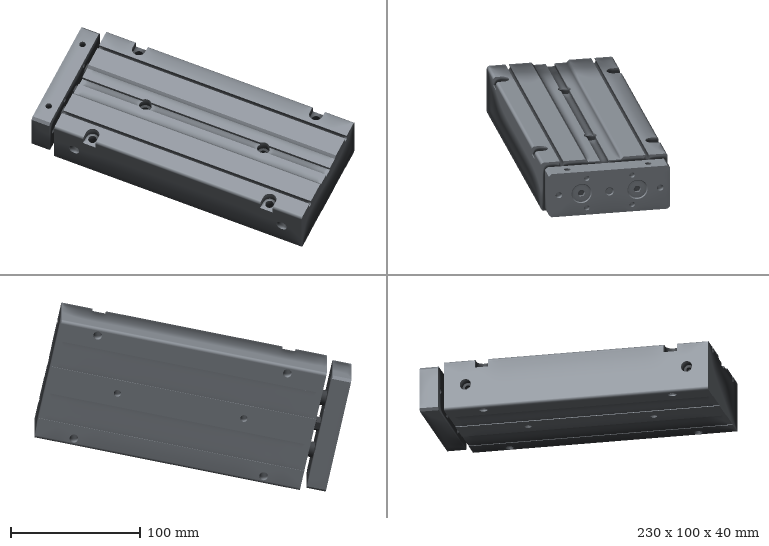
import cadquery as cq
import math


TOTAL_LENGTH = 230.0
WIDTH = 100.0
HEIGHT = 40.0
PLATE_THICKNESS = 15.0
GAP = 5.0
TOP = HEIGHT / 2
HOUSING_START = PLATE_THICKNESS + GAP
HOUSING_LENGTH = TOTAL_LENGTH - HOUSING_START
ROD_Y = 22.0

EDGE_RADIUS = 2.3
CHANNEL_HALF_WIDTH = 15.0
CHANNEL_DEPTH = 2.0
CENTER_SLOT_WIDTH = 7.0
CENTER_SLOT_DEPTH = 2.3
SENSOR_GROOVE_Y = 33.8
SENSOR_GROOVE_DIAMETER = 4.1
SENSOR_GROOVE_AXIS_DEPTH = 2.3
SENSOR_GROOVE_NECK = 2.8
BOTTOM_RELIEF_WIDTH = 22.0
BOTTOM_RELIEF_DEPTH = 0.5

CORNER_HOLE_DIAMETER = 6.7
CORNER_HOLE_Y = 44.0
CORNER_HOLE_INSET = 30.0
CORNER_POCKET_WIDTH = 10.5
CORNER_POCKET_DEPTH = 6.7
CENTER_HOLE_DIAMETER = 5.5
CENTER_HOLE_INSET = 55.0
CENTER_BORE_DIAMETER = 10.0
CENTER_BORE_DEPTH = 10.0
PORT_INSET = 17.0
PORT_MOUTH_DIAMETER = 8.7
PORT_END_DIAMETER = 8.0
PORT_DEPTH = 8.0
PORT_PASSAGE_DIAMETER = 4.1
PORT_PASSAGE_DEPTH = 12.6

PLATE_MARGIN = 2.0
PLATE_WIDTH = WIDTH - 2 * PLATE_MARGIN
PLATE_HEIGHT = HEIGHT - 2 * PLATE_MARGIN
PLATE_CHAMFER = 2.0
ROD_DIAMETER = 12.0
SIDE_HOLE_DIAMETER = 5.0
SIDE_HOLE_Y = 40.0
SMALL_HOLE_DIAMETER = 4.1
SMALL_HOLE_Y = 18.0
SMALL_HOLE_Z = 12.2
TOP_HOLE_DIAMETER = 5.0
TOP_HOLE_Y = 32.0
TOP_HOLE_DEPTH = 9.2
RECESS_TAPER = 0.7
ROD_RECESS_DIAMETER = 15.9
SOCKET_FLATS = 5.0
SOCKET_DEPTH = 3.5
BOLT_DIAMETER = 6.0
BOLT_RECESS_DIAMETER = 6.7
NUT_FLATS = 10.0
NUT_THICKNESS = 3.5


def x_cylinder(diameter, x, length, y=0.0, z=0.0):
    """Cylinder along X that starts at x."""
    return cq.Workplane("YZ", origin=(x, y, z)).circle(diameter / 2).extrude(length)


def x_hexagon(flats, x, length, y=0.0):
    """Hexagonal prism along X with two corners on the Y axis."""
    corners = flats / math.cos(math.pi / 6)
    return cq.Workplane("YZ", origin=(x, y, 0)).polygon(6, corners).extrude(length)


def z_cylinder(diameter, x, y, top, depth):
    """Cylinder that hangs down from the height top."""
    return cq.Workplane("XY", origin=(x, y, top)).circle(diameter / 2).extrude(-depth)


def housing_bar(y, z_low, z_high, width):
    """Straight bar as long as the housing, centred on y."""
    return (
        cq.Workplane("YZ", origin=(HOUSING_START, y, (z_low + z_high) / 2))
        .rect(width, z_high - z_low)
        .extrude(HOUSING_LENGTH)
    )


def channel_cutter():
    """Wide top channel with 45 degree sides and a narrower slot along its floor."""
    floor = TOP - CHANNEL_DEPTH
    floor_half_width = CHANNEL_HALF_WIDTH - CHANNEL_DEPTH
    channel = (
        cq.Workplane("YZ", origin=(HOUSING_START, 0, 0))
        .polyline([
            (-CHANNEL_HALF_WIDTH, TOP),
            (-floor_half_width, floor),
            (floor_half_width, floor),
            (CHANNEL_HALF_WIDTH, TOP),
        ])
        .close()
        .extrude(HOUSING_LENGTH)
    )
    return channel.union(housing_bar(0, floor - CENTER_SLOT_DEPTH, TOP, CENTER_SLOT_WIDTH))


def sensor_groove_cutter(side):
    """Round groove that opens to the top through a narrower neck."""
    y = side * SENSOR_GROOVE_Y
    axis_z = TOP - SENSOR_GROOVE_AXIS_DEPTH
    groove = x_cylinder(SENSOR_GROOVE_DIAMETER, HOUSING_START, HOUSING_LENGTH, y, axis_z)
    return groove.union(housing_bar(y, axis_z, TOP, SENSOR_GROOVE_NECK))


def corner_mount_cutter(x, side):
    """Through hole under a round-ended pocket that is open to the long side."""
    y = side * CORNER_HOLE_Y
    reach = WIDTH / 2 - CORNER_HOLE_Y
    hole = z_cylinder(CORNER_HOLE_DIAMETER, x, y, TOP, HEIGHT)
    round_end = z_cylinder(CORNER_POCKET_WIDTH, x, y, TOP, CORNER_POCKET_DEPTH)
    opening = (
        cq.Workplane("XY", origin=(x, y + side * reach / 2, TOP))
        .rect(CORNER_POCKET_WIDTH, reach)
        .extrude(-CORNER_POCKET_DEPTH)
    )
    return hole.union(round_end).union(opening)


def center_mount_cutter(x):
    """Counterbored through hole on the centre line, sunk from the channel floor."""
    hole = z_cylinder(CENTER_HOLE_DIAMETER, x, 0, TOP, HEIGHT)
    return hole.union(z_cylinder(CENTER_BORE_DIAMETER, x, 0, TOP, CENTER_BORE_DEPTH))


def port_cutter(x):
    """Tapered air port in the -Y side with a small passage at its bottom."""
    return (
        cq.Workplane("XY")
        .polyline([
            (0, 0),
            (PORT_MOUTH_DIAMETER / 2, 0),
            (PORT_END_DIAMETER / 2, PORT_DEPTH),
            (PORT_PASSAGE_DIAMETER / 2, PORT_DEPTH),
            (PORT_PASSAGE_DIAMETER / 2, PORT_PASSAGE_DEPTH),
            (0, PORT_PASSAGE_DEPTH),
        ])
        .close()
        .revolve(360, (0, 0, 0), (0, 1, 0))
        .translate((x, -WIDTH / 2, 0))
    )


def mirrored_stations(inset):
    """X places at the same inset from both ends of the housing."""
    return (HOUSING_START + inset, TOTAL_LENGTH - inset)


def make_housing():
    housing = housing_bar(0, -TOP, TOP, WIDTH).edges("|X").fillet(EDGE_RADIUS)
    housing = housing.cut(channel_cutter())
    for side in (-1, 1):
        housing = housing.cut(sensor_groove_cutter(side))
        relief = housing_bar(side * ROD_Y, -TOP, -TOP + BOTTOM_RELIEF_DEPTH, BOTTOM_RELIEF_WIDTH)
        housing = housing.cut(relief)
        for x in mirrored_stations(CORNER_HOLE_INSET):
            housing = housing.cut(corner_mount_cutter(x, side))
    for x in mirrored_stations(CENTER_HOLE_INSET):
        housing = housing.cut(center_mount_cutter(x))
    for x in mirrored_stations(PORT_INSET):
        housing = housing.cut(port_cutter(x))
    return housing


def face_recess_cutter(diameter, y):
    """Shallow recess in the plate face with a 45 degree rim."""
    return (
        cq.Workplane("YZ", origin=(0, y, 0))
        .circle(diameter / 2)
        .workplane(offset=RECESS_TAPER)
        .circle(diameter / 2 - RECESS_TAPER)
        .loft()
    )


def make_plate():
    plate = (
        cq.Workplane("YZ")
        .rect(PLATE_WIDTH, PLATE_HEIGHT)
        .extrude(PLATE_THICKNESS)
        .edges("|X")
        .chamfer(PLATE_CHAMFER)
    )
    plate = plate.cut(face_recess_cutter(BOLT_RECESS_DIAMETER, 0))
    for side in (-1, 1):
        plate = plate.cut(face_recess_cutter(ROD_RECESS_DIAMETER, side * ROD_Y))
        plate = plate.cut(x_hexagon(SOCKET_FLATS, 0, SOCKET_DEPTH, side * ROD_Y))
        plate = plate.cut(x_cylinder(SIDE_HOLE_DIAMETER, 0, PLATE_THICKNESS, side * SIDE_HOLE_Y))
        for z in (-SMALL_HOLE_Z, SMALL_HOLE_Z):
            plate = plate.cut(x_cylinder(SMALL_HOLE_DIAMETER, 0, PLATE_THICKNESS, side * SMALL_HOLE_Y, z))
        top_hole = z_cylinder(
            TOP_HOLE_DIAMETER, PLATE_THICKNESS / 2, side * TOP_HOLE_Y, PLATE_HEIGHT / 2, TOP_HOLE_DEPTH
        )
        plate = plate.cut(top_hole)
    return plate


def make_slide():
    """End plate in one piece with its rods, stop bolt and lock nut, which end at the housing face."""
    slide = make_plate()
    for side in (-1, 1):
        slide = slide.union(x_cylinder(ROD_DIAMETER, PLATE_THICKNESS, GAP, side * ROD_Y))
    slide = slide.union(x_hexagon(NUT_FLATS, PLATE_THICKNESS, NUT_THICKNESS))
    return slide.union(x_cylinder(BOLT_DIAMETER, PLATE_THICKNESS, GAP))


housing = make_housing()
slide = make_slide()
result = cq.Compound.makeCompound([housing.val(), slide.val()])